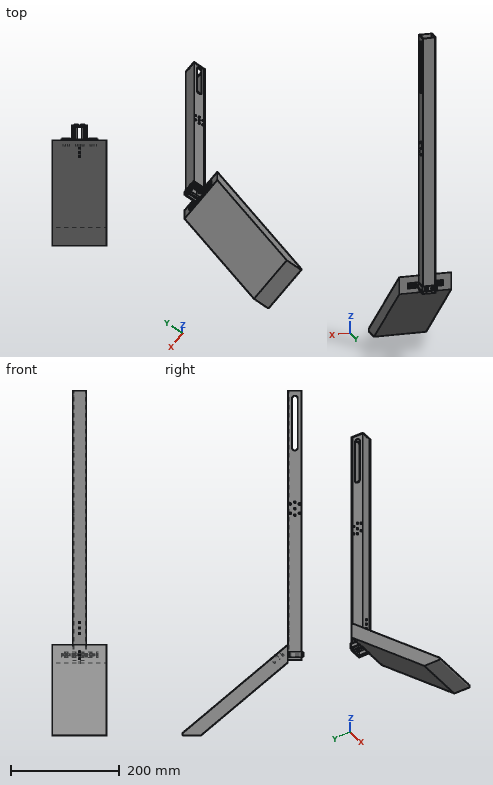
import cadquery as cq
import math

total_height = 634.5
tube_width = 25.5
tube_wall = 2.0
tube_bottom = 139.0

slot_width = 10.0
slot_length = 100.0
slot_top_margin = 9.5

small_hole_diameter = 3.0
pattern_height = 417.5
pattern_radius = 12.0
row_hole_count = 3
row_hole_pitch = 10.0
tube_row_hole_height = 198.0
box_row_hole_setback = 30.0
box_row_hole_depth = 10.0

box_width = 100.0
box_top = 167.5
box_slope = 40
box_thickness = 25.5
box_tip_radius = 3.0

bracket_height = 10.0
bracket_center_height = 149.0
bracket_thickness = 1.8
bracket_span = 68.0

screw_diameter = 4.0
head_diameter = 7.0
head_height = 2.0
head_round = 1.0
tube_screw_spacing = 12.0
flange_screw_offsets = (21.0, 28.5)
screw_bite = 10.0

tube_center_y = tube_width / 2
slope = math.radians(box_slope)
strap_back = tube_width + bracket_thickness


def hole_row(entry, depth):
    """Cutters for a straight row of small holes that sink below the entry plane."""
    return (
        entry.rarray(6.5, row_hole_pitch, 1, row_hole_count)
        .circle(small_hole_diameter / 2)
        .extrude(-depth)
    )


def make_tube():
    """Square tube with the slot, the round hole pattern and the row of holes."""
    height = total_height - tube_bottom
    bore_width = tube_width - 2 * tube_wall
    tube = (
        cq.Workplane("XY", origin=(0, tube_center_y, tube_bottom))
        .rect(tube_width, tube_width)
        .rect(bore_width, bore_width)
        .extrude(height)
    )
    slot_center = total_height - slot_top_margin - slot_length / 2
    slot = (
        cq.Workplane("YZ", origin=(0, tube_center_y, slot_center))
        .slot2D(slot_length, slot_width, 90)
        .extrude(tube_width, both=True)
    )
    diagonal = pattern_radius * math.sqrt(0.5)
    pattern = [(0, 0), (0, pattern_radius), (0, -pattern_radius)]
    pattern += [(y, z) for y in (-diagonal, diagonal) for z in (-diagonal, diagonal)]
    side_holes = (
        cq.Workplane("YZ", origin=(0, tube_center_y, pattern_height))
        .pushPoints(pattern)
        .circle(small_hole_diameter / 2)
        .extrude(tube_width, both=True)
    )
    front_holes = hole_row(cq.Workplane("XZ", origin=(0, 0, tube_row_hole_height)), tube_wall)
    return tube.cut(slot).cut(side_holes).cut(front_holes)


def make_box():
    """Sloping box with a vertical back, a level underside and a rounded front tip."""
    back_bottom = box_top - box_thickness / math.cos(slope)
    box = (
        cq.Workplane("YZ")
        .polyline(
            [
                (0, box_top),
                (-box_top / math.tan(slope), 0),
                (-back_bottom / math.tan(slope), 0),
                (0, back_bottom),
            ]
        )
        .close()
        .extrude(box_width / 2, both=True)
        .edges("<Y")
        .fillet(box_tip_radius)
    )
    top_face = cq.Plane(
        origin=(0, 0, box_top),
        xDir=(1, 0, 0),
        normal=(0, -math.sin(slope), math.cos(slope)),
    )
    top_holes = hole_row(cq.Workplane(top_face).center(0, -box_row_hole_setback), box_row_hole_depth)
    return box.cut(top_holes)


def make_bracket():
    """Strap around the sides and back of the tube with a flange on each side."""
    strap_width = tube_width + 2 * bracket_thickness
    bracket = cq.Workplane("XY").box(
        strap_width, strap_back, bracket_height, centered=(True, False, True)
    )
    flanges = cq.Workplane("XY").box(
        bracket_span, bracket_thickness, bracket_height, centered=(True, False, True)
    )
    tube_space = cq.Workplane("XY").box(
        tube_width, tube_width, bracket_height, centered=(True, False, True)
    )
    bracket = bracket.union(flanges).cut(tube_space)
    return bracket.translate((0, 0, bracket_center_height))


def make_screw(x, seat_y, length):
    """Button-head screw whose shank points toward -Y from its seat."""
    seat = cq.Workplane("XZ", origin=(x, seat_y, bracket_center_height))
    head = seat.circle(head_diameter / 2).extrude(-head_height)
    head = head.faces(">Y").edges().fillet(head_round)
    shank = seat.circle(screw_diameter / 2).extrude(length)
    return head.union(shank)


tube_screw_length = strap_back + screw_bite
flange_screw_length = bracket_thickness + screw_bite
screws = []
for side in (-1, 1):
    screws.append(make_screw(side * tube_screw_spacing / 2, strap_back, tube_screw_length))
    for offset in flange_screw_offsets:
        screws.append(make_screw(side * offset, bracket_thickness, flange_screw_length))

tube = make_tube()
box = make_box()
bracket = make_bracket()

for screw in screws:
    tube = tube.cut(screw)
    box = box.cut(screw)
    bracket = bracket.cut(screw)

result = cq.Compound.makeCompound(
    [tube.val(), box.val(), bracket.val(), *[screw.val() for screw in screws]]
)